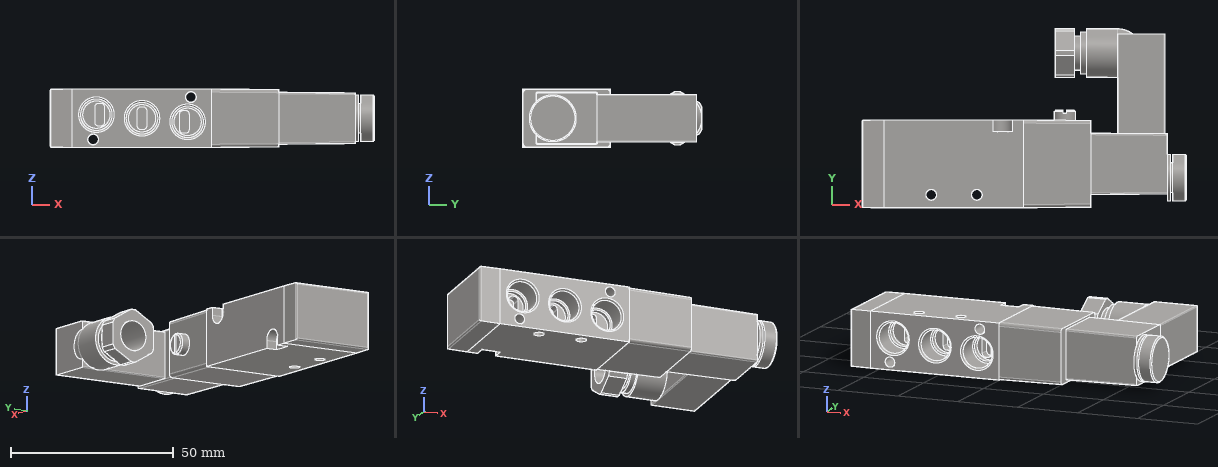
import cadquery as cq
import math


total_length = 99.5
total_width = 55.0
valve_width = 27.0
valve_height = 18.0
valve_mid_y = valve_width / 2
draft_angle = 0.5

cap_end = 6.7
body_end = 49.5
pilot_end = 70.2
coil_end = 93.7

cap_rim_radius = 0.5

port_pitch = 14.0
port_stagger = 1.1
middle_port_x = 28.2
port_mouth_diameter = 10.9
port_thread_diameter = 9.7
port_thread_depth = 8.0
port_drill_diameter = 8.4
port_drill_depth = 10.0
window_pitch = 13.0
window_width = 3.0
window_height = 7.0
window_corner_radius = 1.2
window_depth = valve_mid_y

cross_hole_diameter = 3.2
vertical_hole_xs = (middle_port_x - port_pitch / 2, middle_port_x + port_pitch / 2)
vertical_hole_y = 4.0
mount_hole_offset_x = 15.0
mount_hole_z = 6.5
screw_recess_width = 6.0
screw_recess_depth = 3.6

pilot_edge_radius = 1.0
button_x = 62.2
button_diameter = 6.6
button_top_y = 30.0
button_chamfer = 0.5
button_slot_width = 1.0
button_slot_depth = 0.9

coil_width = 18.9
coil_height = 16.0
coil_edge_radius = 0.5
nut_y = 9.25
nut_diameter = 14.4
nut_washer_thickness = 1.0
nut_neck_diameter = 9.2
nut_head_length = 4.2
nut_chamfer = 0.4

plug_start_x = 78.4
plug_end_x = 93.0
plug_back_y = 53.4
plug_height = 14.6
plug_edge_radius = 0.3

gland_tip_x = 59.2
gland_neck_x = 65.2
gland_collar_x = 67.0
gland_barrel_x = 68.8
gland_barrel_diameter = 15.0
gland_y = total_width - gland_barrel_diameter / 2
gland_neck_diameter = 10.6
gland_collar_diameter = 13.0
hex_flats = gland_barrel_diameter
hex_rounding_diameter = 16.5
cable_hole_diameter = 9.3


def block(x_start, x_end, y_start, y_end, height):
    """Box between two X and two Y stations, centred on mid-height."""
    return cq.Workplane("XY").box(
        x_end - x_start, y_end - y_start, height, centered=(False, False, True)
    ).translate((x_start, y_start, 0))


def x_cylinder(x_start, x_end, y, diameter):
    """Cylinder along X at mid-height."""
    plane = cq.Workplane("YZ", origin=(x_start, y, 0))
    return plane.circle(diameter / 2).extrude(x_end - x_start)


def y_cylinder(y_start, y_end, x, z, diameter):
    """Cylinder along Y."""
    plane = cq.Workplane("XZ", origin=(x, y_start, z))
    return plane.circle(diameter / 2).extrude(y_start - y_end)


def drafted_block(x_start, length, width, height):
    """Block that narrows along its length; a negative length runs toward -X."""
    plane = cq.Workplane("YZ", origin=(x_start, valve_mid_y, 0))
    return plane.rect(width, height).extrude(length, taper=draft_angle)


def make_end_cap():
    cap = drafted_block(cap_end, -cap_end, valve_width, valve_height)
    return cap.faces("<X").edges().fillet(cap_rim_radius)


def make_port(x, z, window_x):
    """Stepped threaded port with a chamfered mouth and a flow window in its floor."""
    thread = y_cylinder(0, port_thread_depth, x, z, port_thread_diameter)
    drill = y_cylinder(0, port_drill_depth, x, z, port_drill_diameter)
    mouth_chamfer = (port_mouth_diameter - port_thread_diameter) / 2
    mouth = cq.Solid.makeCone(
        port_mouth_diameter / 2,
        port_thread_diameter / 2,
        mouth_chamfer,
        pnt=cq.Vector(x, 0, z),
        dir=cq.Vector(0, 1, 0),
    )
    window = block(
        window_x - window_width / 2, window_x + window_width / 2, 0, window_depth, window_height
    )
    window = window.edges("|Y").fillet(window_corner_radius).translate((0, 0, z))
    return thread.union(drill).union(cq.Workplane(mouth)).union(window)


def make_mount_hole(side):
    """Hole through the width; its screw recess opens to the nearer of the top and bottom faces."""
    x = middle_port_x + side * mount_hole_offset_x
    z = side * mount_hole_z
    recess_y = valve_width - screw_recess_depth
    hole = y_cylinder(0, valve_width, x, z, cross_hole_diameter)
    recess = y_cylinder(recess_y, valve_width, x, z, screw_recess_width)
    half_width = screw_recess_width / 2
    opening = block(x - half_width, x + half_width, recess_y, valve_width, screw_recess_width)
    opening = opening.translate((0, 0, z + side * screw_recess_width / 2))
    return hole.union(recess).union(opening)


def make_valve_body():
    body = block(cap_end, body_end, 0, valve_width, valve_height)
    for step in (-1, 0, 1):
        port_x = middle_port_x + step * port_pitch
        window_x = middle_port_x + step * window_pitch
        body = body.cut(make_port(port_x, -step * port_stagger, window_x))
    for side in (-1, 1):
        body = body.cut(make_mount_hole(side))
    vertical_holes = (
        cq.Workplane("XY", origin=(0, 0, -valve_height / 2))
        .pushPoints([(x, vertical_hole_y) for x in vertical_hole_xs])
        .circle(cross_hole_diameter / 2)
        .extrude(valve_height)
    )
    return body.cut(vertical_holes)


def make_pilot():
    pilot = drafted_block(body_end, pilot_end - body_end, valve_width, valve_height)
    pilot = pilot.edges("not(<X or >X)").fillet(pilot_edge_radius)
    button = y_cylinder(valve_mid_y, button_top_y, button_x, 0, button_diameter)
    button = button.faces(">Y").chamfer(button_chamfer)
    slot = block(
        button_x - button_slot_width / 2,
        button_x + button_slot_width / 2,
        button_top_y - button_slot_depth,
        button_top_y,
        button_diameter,
    )
    return pilot.union(button.cut(slot))


def make_coil():
    coil = drafted_block(pilot_end, coil_end - pilot_end, coil_width, coil_height)
    return coil.edges("not(<X or >X)").fillet(coil_edge_radius)


def make_end_nut():
    washer = x_cylinder(coil_end, coil_end + nut_washer_thickness, nut_y, nut_diameter)
    neck = x_cylinder(coil_end, total_length, nut_y, nut_neck_diameter)
    head = x_cylinder(total_length - nut_head_length, total_length, nut_y, nut_diameter)
    head = head.faces(">X").chamfer(nut_chamfer)
    return washer.union(neck).union(head)


def make_plug():
    plug = block(plug_start_x, plug_end_x, valve_mid_y, plug_back_y, plug_height)
    return plug.edges("|Y").fillet(plug_edge_radius)


def make_gland():
    """Hexagonal cap, neck, collar and barrel; the barrel ends in a dome inside the plug."""
    hex_corners = hex_flats / math.cos(math.pi / 6)
    hex_cap = (
        cq.Workplane("YZ", origin=(gland_tip_x, gland_y, 0))
        .transformed(rotate=(0, 0, 90))
        .polygon(6, hex_corners)
        .extrude(gland_neck_x - gland_tip_x)
    )
    hex_cap = hex_cap.intersect(x_cylinder(gland_tip_x, gland_neck_x, gland_y, hex_rounding_diameter))
    neck = x_cylinder(gland_neck_x, gland_collar_x, gland_y, gland_neck_diameter)
    collar = x_cylinder(gland_collar_x, gland_barrel_x, gland_y, gland_collar_diameter)
    barrel = x_cylinder(gland_barrel_x, plug_start_x, gland_y, gland_barrel_diameter)
    dome = cq.Workplane("XY", origin=(plug_start_x, gland_y, 0)).sphere(gland_barrel_diameter / 2)
    dome_room = block(
        plug_start_x,
        plug_end_x,
        gland_y - gland_barrel_diameter,
        gland_y + gland_barrel_diameter,
        plug_height - 2 * plug_edge_radius,
    )
    return hex_cap.union(neck).union(collar).union(barrel).union(dome.intersect(dome_room))


def make_solenoid():
    solenoid = make_coil().union(make_end_nut()).union(make_plug()).union(make_gland())
    cable_hole = x_cylinder(gland_tip_x, plug_start_x, gland_y, cable_hole_diameter)
    return solenoid.cut(cable_hole)


end_cap = make_end_cap()
valve_body = make_valve_body()
pilot = make_pilot()
solenoid = make_solenoid()

result = cq.Compound.makeCompound(
    [end_cap.val(), valve_body.val(), pilot.val(), solenoid.val()]
)